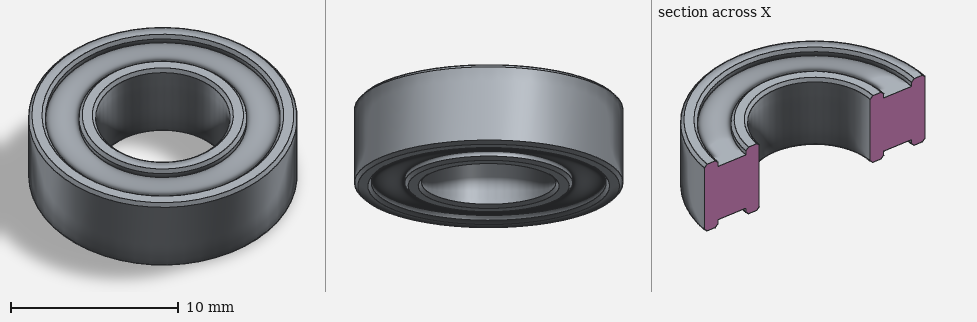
import cadquery as cq

outer_diameter = 16.0
bore_diameter = 8.0
width = 5.0

recess_outer_diameter = 14.0
recess_inner_diameter = 10.0
recess_depth = 0.5

edge_chamfer = 0.2


def annulus(outside, inside, bottom_z, height):
    """Plain ring between two diameters, standing on bottom_z."""
    return (
        cq.Workplane("XY")
        .workplane(offset=bottom_z)
        .circle(outside / 2)
        .circle(inside / 2)
        .extrude(height)
    )


def end_recess(floor_z, height):
    """Cutter that leaves the inner and outer ring standing proud."""
    return annulus(recess_outer_diameter, recess_inner_diameter, floor_z, height)


bearing = annulus(outer_diameter, bore_diameter, -width / 2, width)

bearing = bearing.cut(end_recess(width / 2 - recess_depth, recess_depth))
bearing = bearing.cut(end_recess(-width / 2, recess_depth))

for end_faces in (">Z", "<Z"):
    bearing = bearing.faces(end_faces).edges().chamfer(edge_chamfer)

result = bearing